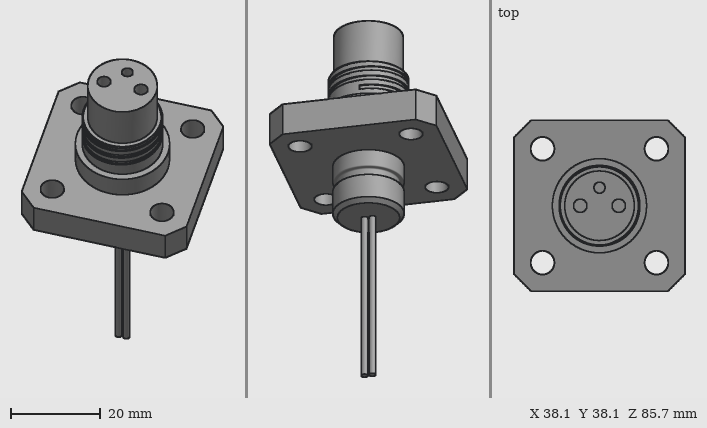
import cadquery as cq

top_z = 85.7
sleeve_top = top_z - 10.7
boss_top = top_z - 19.9
plate_top = top_z - 25.2
plate_bottom = top_z - 32.8
seal_groove_top = top_z - 36.9
seal_groove_bottom = top_z - 39.0
body_bottom = top_z - 45.8

barrel_d = 15.5
sleeve_d = 18.0
sleeve_chamfer = 0.25
boss_d = 21.0
rear_d = 15.9
seal_groove_d = 13.9
seal_groove_fillet = 0.25
rear_chamfer = (rear_d - seal_groove_d) / 2

plate_side = 38.1
corner_chamfer = 3.85
mount_hole_d = 5.2
mount_hole_pitch = 25.4

socket_d = 3.0
socket_offset = 4.3
key_socket_d = 2.5
key_socket_y = 4.0
socket_depth = 8.6

wire_d = 1.5
wire_gap = 0.25
wire_offset = (wire_d + wire_gap) / 2
wire_embed = 0.85

thread_pitch = 2.3
thread_groove_width = 1.0
thread_groove_depth = 0.3
thread_start_z = top_z - 17.4
thread_turns = 3.7


def cylinder(diameter, bottom, top, x=0.0, y=0.0):
    """Vertical cylinder between two levels."""
    return cq.Workplane("XY", origin=(x, y, bottom)).circle(diameter / 2).extrude(top - bottom)


def mounting_plate():
    """Square flange with chamfered corners and four through holes."""
    plate = (
        cq.Workplane("XY", origin=(0, 0, plate_bottom))
        .rect(plate_side, plate_side)
        .extrude(plate_top - plate_bottom)
        .edges("|Z")
        .chamfer(corner_chamfer)
    )
    return (
        plate.faces(">Z")
        .workplane()
        .rect(mount_hole_pitch, mount_hole_pitch, forConstruction=True)
        .vertices()
        .hole(mount_hole_d)
    )


def rear_body():
    """Rear cylinder with a seal groove and a chamfered lower rim."""
    body = cylinder(rear_d, body_bottom, plate_bottom).faces("<Z").chamfer(rear_chamfer)
    groove_height = seal_groove_top - seal_groove_bottom
    groove = (
        cq.Workplane("XY", origin=(0, 0, seal_groove_bottom))
        .circle(rear_d)
        .circle(seal_groove_d / 2)
        .extrude(groove_height)
    )
    groove_edges = cq.selectors.BoxSelector(
        (-rear_d, -rear_d, seal_groove_bottom - seal_groove_fillet),
        (rear_d, rear_d, seal_groove_top + seal_groove_fillet),
    )
    return body.cut(groove).edges("%CIRCLE").edges(groove_edges).fillet(seal_groove_fillet)


def thread_groove():
    """Right-handed helical cutter that starts on +Y and runs out of the sleeve top."""
    root_radius = sleeve_d / 2 - thread_groove_depth
    path = cq.Wire.makeHelix(thread_pitch, thread_pitch * thread_turns, root_radius)
    return (
        cq.Workplane("XZ")
        .center(root_radius + thread_groove_depth, 0)
        .rect(2 * thread_groove_depth, thread_groove_width)
        .sweep(cq.Workplane(path), isFrenet=True)
        .rotate((0, 0, 0), (0, 0, 1), 90)
        .translate((0, 0, thread_start_z))
    )


def threaded_sleeve():
    """Sleeve around the barrel; the thread is cut in an overlong blank that is then cropped."""
    blank_top = thread_start_z + thread_pitch * (thread_turns + 1)
    blank = cylinder(sleeve_d, boss_top, blank_top).cut(thread_groove())
    crop_chamfer = (boss_d - sleeve_d) / 2 + sleeve_chamfer
    crop = cylinder(boss_d, boss_top, sleeve_top).faces(">Z").chamfer(crop_chamfer)
    return blank.intersect(crop)


result = (
    mounting_plate()
    .union(cylinder(boss_d, plate_top, boss_top))
    .union(threaded_sleeve())
    .union(cylinder(barrel_d, boss_top, top_z))
    .union(rear_body())
)

for side in (-1, 1):
    socket = cylinder(socket_d, top_z - socket_depth, top_z, x=side * socket_offset)
    wire = cylinder(wire_d, 0, body_bottom + wire_embed, x=side * wire_offset)
    result = result.cut(socket).union(wire)

result = result.cut(cylinder(key_socket_d, top_z - socket_depth, top_z, y=key_socket_y))